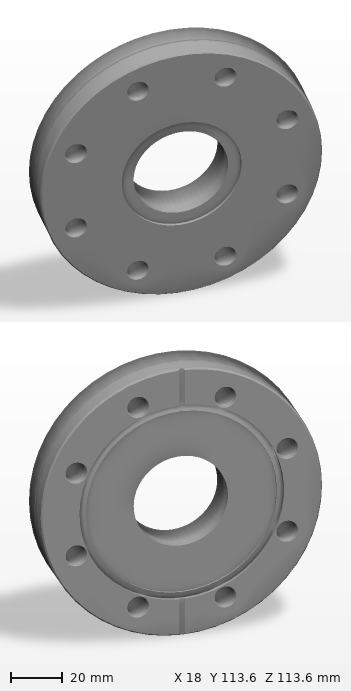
import cadquery as cq

flange_diameter = 113.6
thickness = 18.0
bore_diameter = 38.0
rear_counterbore_diameter = 48.3
rear_counterbore_depth = 1.2
rim_chamfer = 0.7
rim_chamfer_depth = 0.6

rim_groove_width = 0.9
rim_groove_depth = 0.5

recess_diameter = 82.6
recess_depth = 1.6
knife_diameter = 77.0
knife_tip_depth = 0.6
inner_floor_depth = 1.4

bolt_count = 8
bolt_hole_diameter = 8.4
bolt_hole_chamfer = 0.2
bolt_circle_diameter = 92.1

leak_groove_diameter = 2.8
leak_groove_depth = 0.7


def flange_body():
    """Revolve the half section, drawn as (X, radius), about the X axis."""
    rim = flange_diameter / 2
    chamfer_radius = rim - rim_chamfer_depth
    middle = thickness / 2
    half_groove = rim_groove_width / 2
    counterbore_floor = thickness - rear_counterbore_depth
    section = [
        (inner_floor_depth, bore_diameter / 2),
        (inner_floor_depth, knife_diameter / 2),
        (knife_tip_depth, knife_diameter / 2),
        (recess_depth, recess_diameter / 2),
        (0, recess_diameter / 2),
        (0, chamfer_radius),
        (rim_chamfer, rim),
        (middle - half_groove, rim),
        (middle, rim - rim_groove_depth),
        (middle + half_groove, rim),
        (thickness - rim_chamfer, rim),
        (thickness, chamfer_radius),
        (thickness, rear_counterbore_diameter / 2),
        (counterbore_floor, rear_counterbore_diameter / 2),
        (counterbore_floor, bore_diameter / 2),
    ]
    return cq.Workplane("XY").polyline(section).close().revolve(360, (0, 0, 0), (1, 0, 0))


def bolt_holes():
    """Ring of through holes, chamfered at both ends and set half a pitch off the Y axis."""
    radius = bolt_hole_diameter / 2
    mouth_radius = radius + bolt_hole_chamfer
    section = [
        (0, 0),
        (0, mouth_radius),
        (bolt_hole_chamfer, radius),
        (thickness - bolt_hole_chamfer, radius),
        (thickness, mouth_radius),
        (thickness, 0),
    ]
    hole = cq.Workplane("XY").polyline(section).close().revolve(360, (0, 0, 0), (1, 0, 0))
    hole = hole.translate((0, bolt_circle_diameter / 2, 0))
    pitch = 360 / bolt_count
    holes = cq.Workplane("XY")
    for index in range(bolt_count):
        holes = holes.add(hole.rotate((0, 0, 0), (1, 0, 0), (index + 0.5) * pitch))
    return holes.combine()


def leak_groove_cutter():
    """Vertical cylinder sunk into the sealing face; it cuts both grooves across the recess."""
    radius = leak_groove_diameter / 2
    return (
        cq.Workplane("XY")
        .center(leak_groove_depth - radius, 0)
        .circle(radius)
        .extrude(flange_diameter / 2, both=True)
    )


result = flange_body().cut(bolt_holes()).cut(leak_groove_cutter())